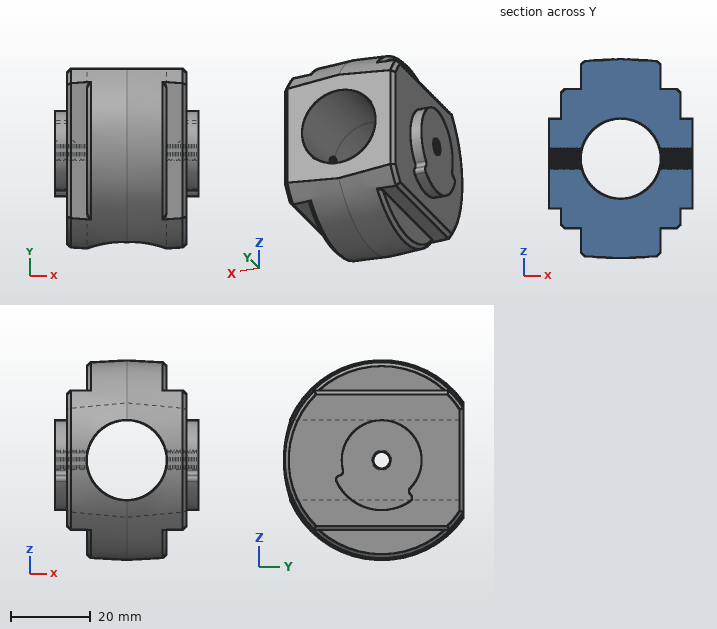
import cadquery as cq
import math

crown_radius = 25.0
crown_taper_angle = 3.0
body_half_width = 15.0
edge_chamfer = 1.0
back_flat_y = 20.5

step_height = 17.45
neck_half_width = 10.0

rod_bore_diameter = 20.0

thread_minor_diameter = 4.2
thread_major_diameter = 5.0
thread_pitch = 0.8
thread_end_land = 0.2

boss_height = 3.0
boss_radius = 10.0
lobe_radius = 12.5
lobe_start_angle = 200.0
lobe_end_angle = 310.0
lobe_fillet = 1.0
boss_face_x = body_half_width + boss_height

cut_size = 4 * crown_radius


def drum(half_width):
    """Crowned drum of the given half width with chamfered rims and a chamfered back flat."""
    chamfer_start = half_width - edge_chamfer
    rim_radius = crown_radius - chamfer_start * math.tan(math.radians(crown_taper_angle))
    face_radius = rim_radius - edge_chamfer
    solid = (
        cq.Workplane("XY")
        .moveTo(-half_width, 0)
        .lineTo(-half_width, face_radius)
        .lineTo(-chamfer_start, rim_radius)
        .lineTo(0, crown_radius)
        .lineTo(chamfer_start, rim_radius)
        .lineTo(half_width, face_radius)
        .lineTo(half_width, 0)
        .close()
        .revolve(360, (0, 0, 0), (1, 0, 0))
    )
    back_trim = (
        cq.Workplane("XY")
        .moveTo(-half_width, -cut_size)
        .lineTo(-half_width, back_flat_y - edge_chamfer)
        .lineTo(-chamfer_start, back_flat_y)
        .lineTo(chamfer_start, back_flat_y)
        .lineTo(half_width, back_flat_y - edge_chamfer)
        .lineTo(half_width, -cut_size)
        .close()
        .extrude(crown_radius, both=True)
    )
    return solid.intersect(back_trim)


def stepped_body():
    """Narrow drum joined with a wide drum that is cut flat above and below."""
    flat_slab = (
        cq.Workplane("XY")
        .box(2 * body_half_width, cut_size, 2 * step_height)
        .edges("|Y")
        .chamfer(edge_chamfer)
    )
    wide_part = drum(body_half_width).intersect(flat_slab)
    return drum(neck_half_width).union(wide_part)


def polar(radius, angle):
    """Point at a radius and an angle in degrees."""
    return (
        radius * math.cos(math.radians(angle)),
        radius * math.sin(math.radians(angle)),
    )


def bosses():
    """Round boss with a larger-radius lobe, running through the body to both sides."""
    mid_angle = (lobe_start_angle + lobe_end_angle) / 2
    outline = (
        cq.Workplane("YZ")
        .moveTo(*polar(boss_radius, lobe_start_angle))
        .lineTo(*polar(lobe_radius, lobe_start_angle))
        .threePointArc(polar(lobe_radius, mid_angle), polar(lobe_radius, lobe_end_angle))
        .lineTo(*polar(boss_radius, lobe_end_angle))
        .threePointArc(polar(boss_radius, mid_angle + 180), polar(boss_radius, lobe_start_angle))
        .close()
    )
    return outline.extrude(boss_face_x, both=True).edges("|X").fillet(lobe_fillet)


def rod_bore():
    """Large bore through the body along Y."""
    return cq.Workplane("XZ").circle(rod_bore_diameter / 2).extrude(cut_size, both=True)


def threaded_hole():
    """Minor-diameter hole along X with V-shaped thread grooves outside the rod bore, as a cutter."""
    minor_radius = thread_minor_diameter / 2
    major_radius = thread_major_diameter / 2
    cutter = cq.Workplane("YZ").circle(minor_radius).extrude(boss_face_x, both=True)
    turn_count = int((boss_face_x - rod_bore_diameter / 2) / thread_pitch)
    for turn in range(turn_count):
        outer_x = boss_face_x - thread_end_land - turn * thread_pitch
        groove = (
            cq.Workplane("XY")
            .moveTo(outer_x, 0)
            .lineTo(outer_x, minor_radius)
            .lineTo(outer_x - thread_pitch / 2, major_radius)
            .lineTo(outer_x - thread_pitch, minor_radius)
            .lineTo(outer_x - thread_pitch, 0)
            .close()
            .revolve(360, (0, 0, 0), (1, 0, 0))
        )
        cutter = cutter.union(groove).union(groove.mirror("YZ"))
    return cutter


result = stepped_body().union(bosses()).cut(rod_bore()).cut(threaded_hole())